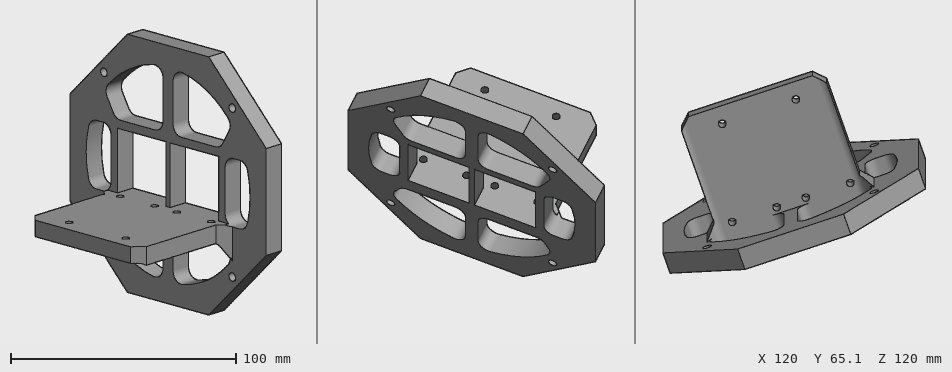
import cadquery as cq
import math

plate_size = 120.0
plate_thickness = 10.0
plate_hole_offset = 39.2
plate_hole_diameter = 4.0

opening_radius = 50.0
corner_radius = 5.0
rib_half_width = 3.1
upper_opening_floor = 19.1
slant_foot_x = 31.9
slant_angle = 60.0
side_opening_inner_x = 34.9
side_opening_half_height = 16.0
window_inner_x = 1.3
window_outer_x = 30.8
window_half_height = 15.0

shelf_length = 55.1
shelf_half_width = 34.1
shelf_thickness = 7.7
shelf_chamfer = 5.0
shelf_top = -window_half_height
shelf_bottom = shelf_top - shelf_thickness
gusset_size = plate_hole_offset - shelf_half_width

shelf_hole_diameter = 3.4
shelf_hole_center_x = 1.3
back_hole_spacing = 20.9
back_pair_spacing = 34.5
back_row_y = -2.9
front_row_y = -47.0

slant_slope = math.tan(math.radians(slant_angle))


def slant_x(height):
    """Distance from the middle to the slanted opening edge, at a height above or below the middle."""
    return slant_foot_x + (height - upper_opening_floor) / slant_slope


def slant_height(x):
    """Height of the slanted opening edge at a distance from the middle."""
    return upper_opening_floor + (x - slant_foot_x) * slant_slope


def extrude_along_y(outline, y_start, y_end):
    """Extrude a closed outline drawn in x and z between two y positions."""
    return outline.extrude(y_start - y_end).translate((0, y_start, 0))


def mirrored_in_x(solid):
    return solid.union(solid.mirror("YZ"))


def octagon_plate():
    half_size = plate_size / 2
    half_side = half_size * math.tan(math.pi / 8)
    plate = cq.Workplane("XZ").rect(plate_size, plate_size)
    plate = extrude_along_y(plate, 0, plate_thickness)
    return plate.edges("|Y").chamfer(half_size - half_side)


def fan_opening(floor):
    """Opening between the centre rib, a level floor, the slanted edge and the outer arc."""
    line_offset = slant_foot_x - upper_opening_floor / slant_slope
    angle = math.radians(slant_angle)
    along = math.sqrt(opening_radius**2 - (line_offset * math.sin(angle)) ** 2)
    along -= line_offset * math.cos(angle)
    tip = (line_offset + along * math.cos(angle), along * math.sin(angle))
    rib_top = (rib_half_width, math.sqrt(opening_radius**2 - rib_half_width**2))
    mid_angle = (math.atan2(tip[1], tip[0]) + math.atan2(rib_top[1], rib_top[0])) / 2
    arc_middle = (opening_radius * math.cos(mid_angle), opening_radius * math.sin(mid_angle))
    outline = (
        cq.Workplane("XZ")
        .moveTo(rib_half_width, floor)
        .lineTo(slant_x(floor), floor)
        .lineTo(*tip)
        .threePointArc(arc_middle, rib_top)
        .close()
    )
    opening = extrude_along_y(outline, 0, plate_thickness)
    return mirrored_in_x(opening.edges("|Y").fillet(corner_radius))


def side_openings():
    """Side openings, long enough to trim the tops of the gussets as well."""
    outer_x = math.sqrt(opening_radius**2 - side_opening_half_height**2)
    outline = (
        cq.Workplane("XZ")
        .moveTo(side_opening_inner_x, -side_opening_half_height)
        .lineTo(outer_x, -side_opening_half_height)
        .threePointArc((opening_radius, 0), (outer_x, side_opening_half_height))
        .lineTo(side_opening_inner_x, side_opening_half_height)
        .close()
    )
    opening = extrude_along_y(outline, -gusset_size, plate_thickness)
    return mirrored_in_x(opening.edges("|Y").fillet(corner_radius))


def windows():
    outline = (
        cq.Workplane("XZ")
        .moveTo(window_inner_x, -window_half_height)
        .lineTo(window_outer_x, -window_half_height)
        .lineTo(window_outer_x, window_half_height)
        .lineTo(window_inner_x, window_half_height)
        .close()
    )
    return mirrored_in_x(extrude_along_y(outline, 0, plate_thickness))


def plate_holes():
    centers = cq.Workplane("XZ").rect(2 * plate_hole_offset, 2 * plate_hole_offset, forConstruction=True)
    return extrude_along_y(centers.vertices().circle(plate_hole_diameter / 2), 0, plate_thickness)


def shelf():
    """Shelf with gussets at the plate, its underside following the slanted opening edges."""
    end_half_width = shelf_half_width - shelf_chamfer
    gusset_tip = -slant_height(plate_hole_offset)
    plan = (
        cq.Workplane("XY", origin=(0, 0, gusset_tip))
        .moveTo(-plate_hole_offset, 0)
        .lineTo(-shelf_half_width, -gusset_size)
        .lineTo(-shelf_half_width, shelf_chamfer - shelf_length)
        .lineTo(-end_half_width, -shelf_length)
        .lineTo(end_half_width, -shelf_length)
        .lineTo(shelf_half_width, shelf_chamfer - shelf_length)
        .lineTo(shelf_half_width, -gusset_size)
        .lineTo(plate_hole_offset, 0)
        .close()
        .extrude(shelf_top - gusset_tip)
    )
    underside_half_width = slant_x(-shelf_bottom)
    underside = (
        cq.Workplane("XZ")
        .moveTo(-underside_half_width, shelf_bottom)
        .lineTo(underside_half_width, shelf_bottom)
        .lineTo(plate_hole_offset, gusset_tip)
        .lineTo(-plate_hole_offset, gusset_tip)
        .close()
    )
    underside = extrude_along_y(underside, -shelf_length, 0)
    underside = underside.edges("|Y and >Z").fillet(corner_radius)
    return plan.cut(underside)


def shelf_holes():
    half_pair = back_pair_spacing / 2
    centers = []
    for pair_x in (shelf_hole_center_x - half_pair, shelf_hole_center_x + half_pair):
        centers.append((pair_x, front_row_y))
        for side in (-1, 1):
            centers.append((pair_x + side * back_hole_spacing / 2, back_row_y))
    return (
        cq.Workplane("XY", origin=(0, 0, shelf_bottom))
        .pushPoints(centers)
        .circle(shelf_hole_diameter / 2)
        .extrude(shelf_thickness)
    )


upper_openings = fan_opening(upper_opening_floor)
lower_openings = fan_opening(-shelf_bottom).mirror("XY")

result = (
    octagon_plate()
    .cut(upper_openings)
    .cut(lower_openings)
    .cut(windows())
    .cut(plate_holes())
    .union(shelf())
    .cut(side_openings())
    .cut(shelf_holes())
)